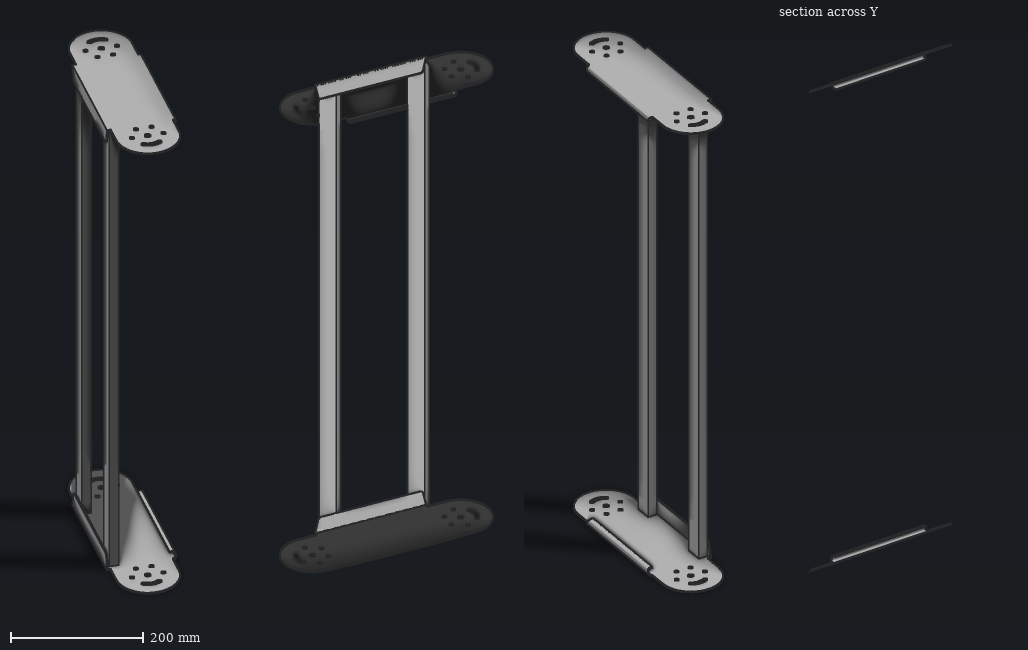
import cadquery as cq
import math

HEIGHT = 799.0
PLATE_LENGTH = 348.0
PLATE_DEPTH = 98.0
FRAME_DEPTH = 110.0
SHEET = 2.0

END_RADIUS = PLATE_DEPTH / 2
END_CENTER_X = PLATE_LENGTH / 2 - END_RADIUS
FLANGE_FACE_Y = FRAME_DEPTH / 2
TOP_Z = HEIGHT / 2

FLANGE_HEIGHT = 27.0
FLANGE_ROOT_WIDTH = 187.0
FLANGE_EDGE_WIDTH = 175.0
FLANGE_CORNER_RADIUS = 5.0

LIP_RETURN = 9.5
LIP_BEND_RADIUS = 6.0
LIP_ROOT_WIDTH = 187.0
LIP_EDGE_WIDTH = 174.0

PATTERN_RADIUS = 25.0
SMALL_HOLE_DIAMETER = 6.8
CENTER_HOLE_DIAMETER = 9.0
HOLE_ANGLES = (-90, -30, 30, 90)
SLOT_WIDTH = 7.0
SLOT_HALF_ANGLE = 30

BAR_WIDTH = 29.5
BAR_DEPTH = 15.0
BAR_SPAN = 179.0
BAR_FRONT_Y = -50.0
BAR_END_GAP = 1.5


def polar(radius, degrees):
    """Point at a radius and angle about the origin."""
    angle = math.radians(degrees)
    return radius * math.cos(angle), radius * math.sin(angle)


def taper_envelope(root_width, edge_width, bottom):
    """Trapezoid prism along Y, root_width wide at the plate top and edge_width wide at the bottom."""
    return (
        cq.Workplane("XZ")
        .moveTo(-root_width / 2, TOP_Z)
        .lineTo(root_width / 2, TOP_Z)
        .lineTo(edge_width / 2, bottom)
        .lineTo(-edge_width / 2, bottom)
        .close()
        .extrude(FRAME_DEPTH, both=True)
    )


def front_flange():
    """Tab with a downward flange along the front (-Y) edge, trimmed to a taper."""
    front = -FLANGE_FACE_Y
    bottom = TOP_Z - FLANGE_HEIGHT
    strip = (
        cq.Workplane("YZ")
        .moveTo(0, TOP_Z)
        .lineTo(front, TOP_Z)
        .lineTo(front, bottom)
        .lineTo(front + SHEET, bottom)
        .lineTo(front + SHEET, TOP_Z - SHEET)
        .lineTo(0, TOP_Z - SHEET)
        .close()
        .extrude(FLANGE_ROOT_WIDTH / 2, both=True)
    )
    taper = taper_envelope(FLANGE_ROOT_WIDTH, FLANGE_EDGE_WIDTH, bottom)
    taper = taper.edges("|Y and <Z").fillet(FLANGE_CORNER_RADIUS)
    return strip.intersect(taper)


def rear_lip():
    """Half-round hook along the rear (+Y) edge, curling under the plate, narrowing with depth."""
    rear = FLANGE_FACE_Y
    bend = LIP_BEND_RADIUS
    bottom = TOP_Z - 2 * bend
    return_y = rear - LIP_RETURN
    strip = (
        cq.Workplane("YZ")
        .moveTo(0, TOP_Z)
        .lineTo(rear - bend, TOP_Z)
        .threePointArc((rear, TOP_Z - bend), (rear - bend, bottom))
        .lineTo(return_y, bottom)
        .lineTo(return_y, bottom + SHEET)
        .lineTo(rear - bend, bottom + SHEET)
        .threePointArc((rear - SHEET, TOP_Z - bend), (rear - bend, TOP_Z - SHEET))
        .lineTo(0, TOP_Z - SHEET)
        .close()
        .extrude(LIP_ROOT_WIDTH / 2, both=True)
    )
    taper = taper_envelope(LIP_ROOT_WIDTH, LIP_EDGE_WIDTH, bottom)
    return strip.intersect(taper)


def end_holes():
    """Cutter for the right (+X) end: centre hole, four small holes and an arc slot."""
    plane = cq.Workplane("XY").workplane(offset=TOP_Z - SHEET)
    inward_points = [polar(PATTERN_RADIUS, 180 + angle) for angle in HOLE_ANGLES]
    holes = plane.circle(CENTER_HOLE_DIAMETER / 2).extrude(SHEET)
    holes = holes.union(plane.pushPoints(inward_points).circle(SMALL_HOLE_DIAMETER / 2).extrude(SHEET))

    inner_radius = PATTERN_RADIUS - SLOT_WIDTH / 2
    outer_radius = PATTERN_RADIUS + SLOT_WIDTH / 2
    slot = (
        plane.moveTo(*polar(inner_radius, -SLOT_HALF_ANGLE))
        .threePointArc((inner_radius, 0), polar(inner_radius, SLOT_HALF_ANGLE))
        .radiusArc(polar(outer_radius, SLOT_HALF_ANGLE), SLOT_WIDTH / 2)
        .threePointArc((outer_radius, 0), polar(outer_radius, -SLOT_HALF_ANGLE))
        .radiusArc(polar(inner_radius, -SLOT_HALF_ANGLE), SLOT_WIDTH / 2)
        .close()
        .extrude(SHEET)
    )
    return holes.union(slot).translate((END_CENTER_X, 0, 0))


def top_bracket():
    """Round-ended sheet bracket at the top of the frame."""
    plate = (
        cq.Workplane("XY")
        .workplane(offset=TOP_Z - SHEET)
        .slot2D(PLATE_LENGTH, PLATE_DEPTH)
        .extrude(SHEET)
    )
    right_holes = end_holes()
    left_holes = right_holes.mirror("YZ")
    return plate.union(front_flange()).union(rear_lip()).cut(right_holes).cut(left_holes)


def upright_bar(center_x):
    """Rectangular bar standing just clear of the two bracket plates."""
    center_y = BAR_FRONT_Y + BAR_DEPTH / 2
    bar_length = HEIGHT - 2 * (SHEET + BAR_END_GAP)
    return cq.Workplane("XY").box(BAR_WIDTH, BAR_DEPTH, bar_length).translate((center_x, center_y, 0))


upper_bracket = top_bracket()
lower_bracket = upper_bracket.mirror("XY")

bar_center_x = (BAR_SPAN - BAR_WIDTH) / 2
bars = [upright_bar(side * bar_center_x) for side in (-1, 1)]

result = cq.Compound.makeCompound(
    [upper_bracket.val(), lower_bracket.val(), *[bar.val() for bar in bars]]
)